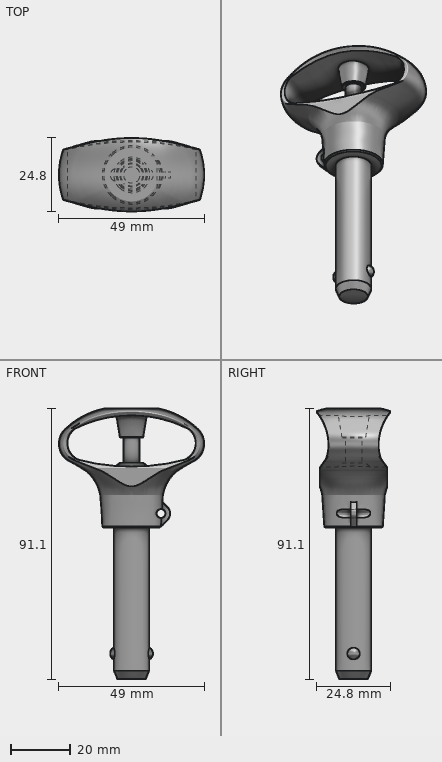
import cadquery as cq
import math


handle_height = 40.2
through_length = 100.0

shank_radius = 6.0
shank_length = 50.9
tip_radius = 4.8
tip_length = 2.9
ball_radius = 2.15
ball_center_offset = 5.1
ball_height_above_tip = 8.6

collar_bottom_radius = 9.9
collar_top_radius = 10.6
collar_height = 11.1
collar_chamfer = 0.5

neck_mid_radius, neck_mid_height = 11.6, 14.4
neck_top_radius, neck_top_height = 15.2, 19.1
rim_radius = 24.5
rim_height = 28.0
rim_low_radius, rim_low_height = 20.4, 22.15
dome_edge_radius = 22.0
dome_edge_height = 33.5
dome_mid_radius, dome_mid_height = 15.8, 37.8
flat_radius = 8.95

neck_half_width = 11.4
shoulder_low_height = 19.7
shoulder_high_half_width, shoulder_high_height = 11.1, 20.6
lower_flare_half_width, lower_flare_height = 9.35, 23.0
waist_mid_half_width, waist_mid_height = 8.7, 25.3
waist_half_width, waist_height = 8.5, 27.9
upper_flare_half_width, upper_flare_height = 9.4, 33.5
top_half_width, top_edge_height = 12.72, 39.25
edge_rounding = 0.35

window_floor_height = 20.6
window_roof_height = 37.8
window_end_x, window_end_height = 21.5, 27.7
window_low_x, window_low_height = 17.9, 22.95
window_high_x, window_high_height = 19.1, 33.3

button_top_radius = 5.2
button_bottom_radius = 4.0
button_bottom_height = 30.3
button_chamfer = 0.3
stem_radius = 2.75
seat_bottom_radius = 5.5
seat_top_radius = 3.9
seat_top_height = 21.9

pin_radius = 1.5
pin_offset = 10.2
pin_length = 1.5

tab_hole_x, tab_hole_height = 9.9, 4.8
tab_hole_radius = 1.45
tab_radius = 3.1
tab_thickness = 2.0


def revolve_about_z(profile):
    """Revolve an XZ half profile about Z, with its seam turned to the -Y side."""
    return profile.revolve(360, (0, 0, 0), (0, 1, 0)).rotate((0, 0, 0), (0, 0, 1), -90)


def make_shank():
    profile = (
        cq.Workplane("XZ")
        .moveTo(0, -shank_length)
        .lineTo(tip_radius, -shank_length)
        .lineTo(shank_radius, tip_length - shank_length)
        .lineTo(shank_radius, collar_height)
        .lineTo(0, collar_height)
        .close()
    )
    shank = revolve_about_z(profile)
    for side in (-1, 1):
        ball = cq.Workplane("XY").sphere(ball_radius)
        ball_height = ball_height_above_tip - shank_length
        shank = shank.union(ball.translate((side * ball_center_offset, 0, ball_height)))
    return shank


def make_handle_blank():
    profile = (
        cq.Workplane("XZ")
        .lineTo(collar_bottom_radius - collar_chamfer, 0)
        .lineTo(collar_bottom_radius, collar_chamfer)
        .lineTo(collar_top_radius, collar_height)
        .threePointArc((neck_mid_radius, neck_mid_height), (neck_top_radius, neck_top_height))
        .lineTo(rim_low_radius, rim_low_height)
        .threePointArc((rim_radius, rim_height), (dome_edge_radius, dome_edge_height))
        .threePointArc((dome_mid_radius, dome_mid_height), (flat_radius, handle_height))
        .lineTo(0, handle_height)
        .close()
    )
    return revolve_about_z(profile)


def make_side_cutter():
    """Stock to remove from the +Y side, constant along X."""
    profile = (
        cq.Workplane("YZ")
        .moveTo(neck_half_width, collar_height)
        .lineTo(neck_half_width, shoulder_low_height)
        .tangentArcPoint((shoulder_high_half_width, shoulder_high_height), relative=False)
        .lineTo(lower_flare_half_width, lower_flare_height)
        .threePointArc((waist_mid_half_width, waist_mid_height), (waist_half_width, waist_height))
        .threePointArc((upper_flare_half_width, upper_flare_height), (top_half_width, top_edge_height))
        .lineTo(top_half_width, handle_height)
        .lineTo(rim_radius, handle_height)
        .lineTo(rim_radius, collar_height)
        .close()
    )
    return profile.extrude(through_length / 2, both=True)


def make_window():
    """Finger opening through the handle along Y, bounded by four arcs."""
    profile = (
        cq.Workplane("XZ")
        .moveTo(-window_low_x, window_low_height)
        .threePointArc((0, window_floor_height), (window_low_x, window_low_height))
        .threePointArc((window_end_x, window_end_height), (window_high_x, window_high_height))
        .threePointArc((0, window_roof_height), (-window_high_x, window_high_height))
        .threePointArc((-window_end_x, window_end_height), (-window_low_x, window_low_height))
        .close()
    )
    return profile.extrude(through_length / 2, both=True)


def make_handle():
    side_cutter = make_side_cutter()
    handle = make_handle_blank().cut(side_cutter).cut(side_cutter.mirror("XZ"))
    dome_zone = cq.selectors.BoxSelector(
        (-rim_radius, -rim_radius, dome_edge_height),
        (rim_radius, rim_radius, handle_height),
    )
    dome_edges = handle.edges(dome_zone).edges("not(%CIRCLE)")
    return dome_edges.fillet(edge_rounding).cut(make_window())


def make_button():
    """Release button hanging under the dome, with its stem and seat."""
    profile = (
        cq.Workplane("XZ")
        .moveTo(0, collar_height)
        .lineTo(seat_bottom_radius, collar_height)
        .lineTo(seat_bottom_radius, window_floor_height)
        .lineTo(seat_top_radius, seat_top_height)
        .lineTo(stem_radius, seat_top_height)
        .lineTo(stem_radius, button_bottom_height)
        .lineTo(button_bottom_radius - button_chamfer, button_bottom_height)
        .lineTo(button_bottom_radius, button_bottom_height + button_chamfer)
        .lineTo(button_top_radius, window_roof_height)
        .lineTo(button_top_radius, handle_height)
        .lineTo(0, handle_height)
        .close()
    )
    return revolve_about_z(profile)


def mark_pin_ends(body):
    """Divide the dome face where the flush pin ends meet it; the shape itself stays the same."""
    pins = cq.Workplane("XY", origin=(0, 0, handle_height - pin_length))
    pins = pins.pushPoints([(0, -pin_offset), (0, pin_offset)])
    pins = pins.circle(pin_radius).extrude(pin_length)
    pin_ends = body.intersect(pins)
    return body.cut(pins).union(pin_ends, clean=False)


def make_tab():
    """Lanyard tab: a round nose with 45 degree flanks running into the collar."""
    reach = tab_radius * math.sqrt(0.5)
    root = tab_radius * math.sqrt(2)
    profile = (
        cq.Workplane("XZ")
        .moveTo(0, -root)
        .lineTo(reach, -reach)
        .threePointArc((tab_radius, 0), (reach, reach))
        .lineTo(0, root)
        .lineTo(-reach, root)
        .lineTo(-reach, -root)
        .close()
    )
    tab = profile.extrude(tab_thickness / 2, both=True)
    return tab.translate((tab_hole_x, 0, tab_hole_height))


def make_tab_hole():
    hole = cq.Workplane("XZ").center(tab_hole_x, tab_hole_height).circle(tab_hole_radius)
    return hole.extrude(through_length / 2, both=True)


result = make_handle()
for feature in (make_shank(), make_button(), make_tab()):
    result = result.union(feature)
result = result.cut(make_tab_hole())
result = mark_pin_ends(result)